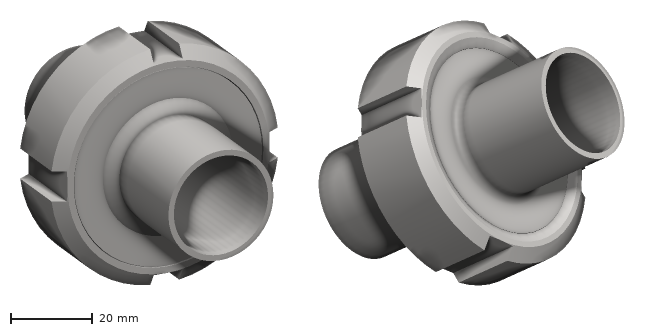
import cadquery as cq
import math

total_length = 77.0
bore_radius = 26.0 / 2
tube_radius = 29.0 / 2

nut_start = 28.0
nut_end = 49.0
nut_radius = 63.1 / 2
nut_chamfer_length = 2.1
nut_chamfer_height = nut_chamfer_length * math.tan(math.radians(60))
nut_hole_radius = 48.2 / 2
nut_hole_mouth_radius = 53.0 / 2
nut_hole_mouth_depth = 1.0
nut_thread_radius = 52.4 / 2
nut_lip_length = 4.2
slot_width = 8.0
slot_floor_radius = 27.95
slot_count = 4

liner_face = nut_start + nut_hole_mouth_depth
liner_hub_radius = 48.05 / 2
liner_fillet = 2.0
collar_start = nut_start + nut_lip_length
collar_length = 4.0
joint = collar_start + collar_length

male_radius = 52.0 / 2
male_cone_end = 50.75
male_cone_radius = 36.0 / 2
male_cone_angle = 60
male_back = male_cone_end - (male_cone_radius - tube_radius) / math.tan(math.radians(male_cone_angle))


def revolve_profile(profile):
    """Revolve a closed (x, radius) profile about the X axis."""
    return profile.close().revolve(360, (0, 0, 0), (1, 0, 0))


def make_nut():
    chamfer_radius = nut_radius - nut_chamfer_height
    nut = revolve_profile(
        cq.Workplane("XY")
        .moveTo(nut_start, nut_hole_mouth_radius)
        .lineTo(nut_start, chamfer_radius)
        .lineTo(nut_start + nut_chamfer_length, nut_radius)
        .lineTo(nut_end - nut_chamfer_length, nut_radius)
        .lineTo(nut_end, chamfer_radius)
        .lineTo(nut_end, nut_thread_radius)
        .lineTo(collar_start, nut_thread_radius)
        .lineTo(collar_start, nut_hole_radius)
        .lineTo(liner_face, nut_hole_radius)
    )
    slot = cq.Workplane("XY").box(
        total_length, slot_width, nut_radius, centered=(False, True, False)
    ).translate((0, 0, slot_floor_radius))
    for index in range(slot_count):
        nut = nut.cut(slot.rotate((0, 0, 0), (1, 0, 0), index * 360 / slot_count))
    return nut


def make_liner():
    fillet_middle = liner_fillet * (1 - math.sqrt(0.5))
    return revolve_profile(
        cq.Workplane("XY")
        .moveTo(0, bore_radius)
        .lineTo(0, tube_radius)
        .lineTo(liner_face - liner_fillet, tube_radius)
        .threePointArc(
            (liner_face - fillet_middle, tube_radius + fillet_middle),
            (liner_face, tube_radius + liner_fillet),
        )
        .lineTo(liner_face, liner_hub_radius)
        .lineTo(collar_start, liner_hub_radius)
        .lineTo(collar_start, male_radius)
        .lineTo(joint, male_radius)
        .lineTo(joint, bore_radius)
    )


def make_male_body():
    return revolve_profile(
        cq.Workplane("XY")
        .moveTo(joint, bore_radius)
        .lineTo(joint, male_radius)
        .lineTo(male_back, male_radius)
        .lineTo(male_back, male_cone_radius)
        .lineTo(male_cone_end, tube_radius)
        .lineTo(total_length, tube_radius)
        .lineTo(total_length, bore_radius)
    )


nut = make_nut()
liner = make_liner()
male_body = make_male_body()

result = cq.Compound.makeCompound([nut.val(), liner.val(), male_body.val()])